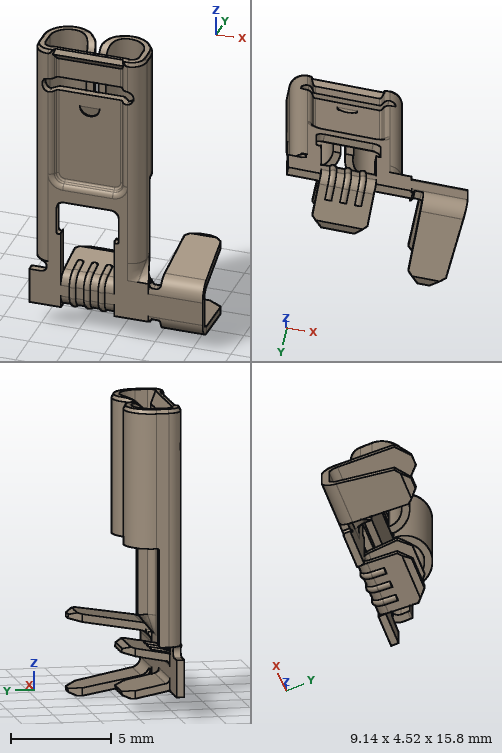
import cadquery as cq
import math


tolerance = 1e-3
overshoot = 1.0

sheet = 0.4
half_width = 2.87
corner_radius = 0.77
inner_corner_radius = corner_radius - sheet
corner_x = half_width - corner_radius
curl_gap_half = 0.12
curl_radius = (half_width - curl_gap_half) / 2
inner_curl_radius = curl_radius - sheet
curl_x = half_width - curl_radius
curl_y = 1.395
curl_tip_length = 0.06
curl_tip_y = curl_y - curl_tip_length
wall_top_y = 1.244

top_z = 14.64
curl_bottom_z = 7.57
wall_bottom_z = 2.52
right_wall_bottom_z = 3.18
curl_relief_radius = 0.13
curl_lead_in_radius = 1.05
wall_end_radius = 0.1
rim_chamfer_height = 0.2
rim_chamfer_inset = 0.1

panel_depth = 0.35
dish_bottom_z = 6.74
panel_taper = 30
panel_edge_fillet = 0.33
panel_floor_fillet = 0.147
panel_edge_tangent = panel_edge_fillet * math.tan(math.radians((90 - panel_taper) / 2))
panel_half_width = corner_x - panel_edge_tangent
panel_bottom_z = dish_bottom_z + panel_edge_tangent
panel_corner_radius = 0.6
lip_start_z = 14.05
lip_nose_z = 14.38
lip_nose_y = 0.1
lip_top_y = 0.25
lip_inner_y = 0.44
bump_half_width = 2.1
bump_bottom_z = dish_bottom_z
bump_taper = 45
bump_root = 0.05

slot_half_length = 2.41
slot_bottom_z = 12.25
slot_top_z = 13.0
mark_radius = 0.52
mark_top_z = 11.54
mark_depth = 0.08
window_half_width = 1.64
window_bottom_z = 4.18
window_top_z = 6.03
window_corner_radius = 0.4
window_relief_radius = 0.12

strip_left_x = -3.07
strip_right_x = 3.21
strip_left_height = 1.9
strip_right_height = 2.18
strip_center_z = 0.968
notch_depth_x = -2.156
notch_start_x = -2.4

tip_bevel_length = 0.41
tip_thickness = sheet / 2
wire_half_width = 1.405
wire_flat_half = 0.31
wire_bend_radius = 0.67
wire_angle = 11
wire_tip_y = 2.76
wire_corner_cut = 0.6
clamp_left_x = 3.82
clamp_right_x = 6.07
clamp_flat_half = 0.64
clamp_bend_radius = 0.917
clamp_angle = 10
clamp_tip_y = 4.43
clamp_corner_y = 3.8
clamp_tip_left_x = 4.43
clamp_tip_right_x = 4.96
clamp_corner_x = 5.74
clamp_bend_end_x = 6.01
clamp_bend_end_y = 0.76

neck_top_z = 1.92
neck_bottom_z = 0.17
neck_back_y = 0.56
neck_upper_radius = 0.22
neck_lower_radius = 0.12
neck_ramp_length = 0.29

bead_offset_x = -0.025
bead_pitch = 0.76
bead_height = 0.09
bead_radius = 0.2
bead_end_y = 1.28


def box(x0, x1, y0, y1, z0, z1):
    """Box between two opposite corners."""
    return cq.Workplane("XY").box(x1 - x0, y1 - y0, z1 - z0, centered=False).translate((x0, y0, z0))


def front_prism(outline, y0, y1):
    """Extrude an outline drawn in X and Z from y0 to y1."""
    return outline.extrude(-(y1 - y0)).translate((0, y0, 0))


def on_circle(center, radius, degrees):
    """Point on a circle in plane coordinates."""
    angle = math.radians(degrees)
    return (center[0] + radius * math.cos(angle), center[1] + radius * math.sin(angle))


def half_section(wall_y, curled):
    """Right half of the receptacle section, optionally with the wall rolled over into a curl."""
    outer_corner = on_circle((corner_x, corner_radius), corner_radius, -45)
    inner_corner = on_circle((corner_x, corner_radius), inner_corner_radius, -45)
    inner_x = half_width - sheet
    section = cq.Workplane("XY").moveTo(0, 0).lineTo(corner_x, 0)
    section = section.threePointArc(outer_corner, (half_width, corner_radius)).lineTo(half_width, wall_y)
    if curled:
        section = section.threePointArc((curl_x, wall_y + curl_radius), (curl_gap_half, wall_y))
        section = section.lineTo(curl_gap_half, curl_tip_y).lineTo(curl_gap_half + sheet, curl_tip_y)
        section = section.lineTo(curl_gap_half + sheet, wall_y)
        section = section.threePointArc((curl_x, wall_y + inner_curl_radius), (inner_x, wall_y))
    else:
        section = section.lineTo(inner_x, wall_y)
    section = section.lineTo(inner_x, corner_radius)
    return section.threePointArc(inner_corner, (corner_x, sheet)).lineTo(0, sheet).close()


def is_outer_rim(edge):
    """True for edges of the top face that lie on the outside of the rolled sheet."""
    if edge.geomType() == "CIRCLE":
        radius = edge.radius()
        return min(abs(radius - corner_radius), abs(radius - curl_radius)) < tolerance
    middle = edge.Center()
    return abs(middle.y) < tolerance or abs(abs(middle.x) - half_width) < tolerance


def curled_half():
    """Right half of the receptacle where the walls are rolled over, with its rim chamfered."""
    half = half_section(curl_y, True).extrude(top_z - curl_bottom_z).translate((0, 0, curl_bottom_z))
    solid = half.val()
    top_face = half.faces(">Z").val()
    rim = [edge for edge in top_face.Edges() if is_outer_rim(edge)]
    return cq.Workplane(solid.chamfer(rim_chamfer_height, rim_chamfer_inset, rim))


def walled_half(bottom_z):
    """Right half of the lower receptacle, a plain channel."""
    return half_section(wall_top_y, False).extrude(curl_bottom_z - bottom_z).translate((0, 0, bottom_z))


def curl_relief():
    """Fillet material where the right wall steps back below the curl."""
    fillet_y = wall_top_y + curl_relief_radius
    fillet_z = curl_bottom_z - curl_relief_radius
    middle = on_circle((fillet_y, fillet_z), curl_relief_radius, 135)
    outline = cq.Workplane("YZ").moveTo(wall_top_y, curl_bottom_z).lineTo(wall_top_y, fillet_z)
    outline = outline.threePointArc(middle, (fillet_y, curl_bottom_z)).close()
    return outline.extrude(sheet).translate((half_width - sheet, 0, 0))


def receptacle():
    """Rolled receptacle without openings."""
    upper = curled_half().union(curl_relief())
    left_wall = walled_half(wall_bottom_z).edges("|X and >Y and <Z").fillet(wall_end_radius)
    left = upper.union(left_wall).mirror("YZ")
    return upper.union(walled_half(right_wall_bottom_z)).union(left)


def panel_prism(half_panel, bottom_z, y0, depth, taper):
    """Tapered prism narrowing towards +Y with rounded lower corners, open past the top."""
    over_top = top_z + overshoot
    side = half_panel - panel_corner_radius
    center_z = bottom_z + panel_corner_radius
    right_mid = on_circle((side, center_z), panel_corner_radius, -45)
    left_mid = (-right_mid[0], right_mid[1])
    outline = cq.Workplane("XZ").moveTo(-side, bottom_z).lineTo(side, bottom_z)
    outline = outline.threePointArc(right_mid, (half_panel, center_z)).lineTo(half_panel, over_top)
    outline = outline.lineTo(-half_panel, over_top).lineTo(-half_panel, center_z)
    outline = outline.threePointArc(left_mid, (-side, bottom_z)).close()
    return outline.extrude(-depth, taper=taper).translate((0, y0, 0))


def side_prism(points):
    """Prism along X across the receptacle from points given in Y and Z."""
    return cq.Workplane("YZ").polyline(points).close().extrude(half_width, both=True)


def panel_recess():
    """Recess in the outer face, ramping out to a lip below the top edge."""
    sharp = panel_prism(panel_half_width, panel_bottom_z, 0, panel_depth, panel_taper)
    sharp = sharp.faces(">Y").edges().fillet(panel_floor_fillet)
    block = box(-half_width, half_width, 0, panel_depth + sheet, 0, top_z)
    dished = block.cut(sharp)
    mouth_low = (-corner_x, -tolerance, dish_bottom_z)
    mouth_high = (corner_x, tolerance, top_z - overshoot)
    mouth = dished.edges(cq.selectors.BoxSelector(mouth_low, mouth_high))
    recess = block.cut(mouth.fillet(panel_edge_fillet))
    limit = side_prism(
        [
            (-overshoot, 0),
            (panel_depth, 0),
            (panel_depth, lip_start_z),
            (lip_nose_y, lip_nose_z),
            (lip_top_y, top_z),
            (-overshoot, top_z),
        ]
    )
    return recess.intersect(limit)


def panel_bump():
    """Raised inner side of the panel, with a lead-in at the top."""
    bump = panel_prism(
        bump_half_width, bump_bottom_z, sheet - bump_root, panel_depth + bump_root, bump_taper
    )
    limit = side_prism(
        [
            (0, 0),
            (sheet + panel_depth, 0),
            (sheet + panel_depth, lip_start_z),
            (lip_inner_y, top_z),
            (0, top_z),
        ]
    )
    return bump.intersect(limit)


def cross_slot():
    """Round-ended slot across the front wall."""
    height = slot_top_z - slot_bottom_z
    outline = cq.Workplane("XZ").center(0, (slot_bottom_z + slot_top_z) / 2)
    return front_prism(outline.slot2D(2 * slot_half_length, height), -sheet, sheet + corner_radius)


def half_round_mark():
    """Half-round impression in the panel, flush at its straight top edge and deepening downwards."""
    outline = cq.Workplane("XZ").moveTo(-mark_radius, mark_top_z)
    outline = outline.threePointArc((0, mark_top_z - mark_radius), (mark_radius, mark_top_z)).close()
    disc = front_prism(outline, 0, panel_depth + mark_depth)
    low_z = mark_top_z - mark_radius
    deepest_y = panel_depth + mark_depth
    ramp = side_prism([(0, low_z), (deepest_y, low_z), (panel_depth, mark_top_z), (0, mark_top_z)])
    return disc.intersect(ramp)


def curl_lead_in():
    """Material removed to round the upper corners of both curl tips as a lead-in."""
    radius = curl_lead_in_radius
    center = (curl_tip_y + radius, top_z - radius)
    outline = (
        cq.Workplane("YZ")
        .moveTo(curl_tip_y, center[1])
        .threePointArc(on_circle(center, radius, 135), (center[0], top_z))
        .lineTo(curl_tip_y, top_z)
        .close()
    )
    return outline.extrude(curl_x, both=True)


def window():
    """Window in the front wall with relief pockets at its lower corners."""
    y0, y1 = -sheet, 2 * sheet
    wide_bottom_z = window_bottom_z + window_relief_radius
    wide = box(-window_half_width, window_half_width, y0, y1, wide_bottom_z, window_top_z)
    wide = wide.edges("|Y and >Z").fillet(window_corner_radius)
    narrow = box(-wire_half_width, wire_half_width, y0, y1, 0, window_top_z - window_corner_radius)
    opening = wide.union(narrow)
    relief_x = window_half_width - window_relief_radius
    for x in (-relief_x, relief_x):
        outline = cq.Workplane("XZ").center(x, wide_bottom_z)
        opening = opening.union(front_prism(outline.circle(window_relief_radius), y0, y1))
    return opening


def strip():
    """Flat strip on both sides of the wire wings."""
    notch_z = (strip_left_height + wall_bottom_z) / 2
    left = (
        cq.Workplane("XZ")
        .moveTo(strip_left_x, 0)
        .lineTo(-wire_half_width, 0)
        .lineTo(-wire_half_width, wall_bottom_z)
        .lineTo(notch_start_x, wall_bottom_z)
        .threePointArc((notch_depth_x, notch_z), (notch_start_x, strip_left_height))
        .lineTo(strip_left_x, strip_left_height)
        .close()
    )
    right = box(wire_half_width, strip_right_x, 0, sheet, 0, strip_right_height)
    return front_prism(left, 0, sheet).union(right)


def wall_transition():
    """Right wall flattening out into the strip."""
    outer_corner = on_circle((corner_x, corner_radius), corner_radius, -45)
    inner_corner = on_circle((corner_x, corner_radius), inner_corner_radius, -45)
    inner_x = half_width - sheet
    bend_end_x = (corner_x + strip_right_x) / 2
    return (
        cq.Workplane("XY", origin=(0, 0, strip_right_height))
        .moveTo(wire_half_width, 0)
        .lineTo(corner_x, 0)
        .lineTo(bend_end_x, 0)
        .lineTo(strip_right_x, 0)
        .lineTo(strip_right_x, sheet)
        .lineTo(bend_end_x, sheet)
        .lineTo(corner_x, sheet)
        .lineTo(wire_half_width, sheet)
        .close()
        .workplane(offset=right_wall_bottom_z - strip_right_height)
        .moveTo(wire_half_width, 0)
        .lineTo(corner_x, 0)
        .threePointArc(outer_corner, (half_width, corner_radius))
        .lineTo(half_width, wall_top_y)
        .lineTo(inner_x, wall_top_y)
        .lineTo(inner_x, corner_radius)
        .threePointArc(inner_corner, (corner_x, sheet))
        .lineTo(wire_half_width, sheet)
        .close()
        .loft(ruled=True)
    )


def upper_wing(x0, x1, flat_half, bend_radius, angle, tip_y):
    """Upper half of a bent wing pair: half of the flat base, the bend and one bevelled wing."""
    inner_radius = bend_radius - sheet
    slope = math.tan(math.radians(angle))
    center = (bend_radius, flat_half)
    outer_end = on_circle(center, bend_radius, 90 + angle)
    inner_end = on_circle(center, inner_radius, 90 + angle)
    inner_tip = (tip_y, inner_end[1] + slope * (tip_y - inner_end[0]))
    outer_tip = on_circle(inner_tip, tip_thickness, 90 + angle)
    bevel_y = tip_y - tip_bevel_length
    bevel = (bevel_y, outer_end[1] + slope * (bevel_y - outer_end[0]))
    mid_angle = 135 + angle / 2
    profile = (
        cq.Workplane("YZ")
        .moveTo(0, 0)
        .lineTo(0, flat_half)
        .threePointArc(on_circle(center, bend_radius, mid_angle), outer_end)
        .lineTo(*bevel)
        .lineTo(*outer_tip)
        .lineTo(*inner_tip)
        .lineTo(*inner_end)
        .threePointArc(on_circle(center, inner_radius, mid_angle), (sheet, flat_half))
        .lineTo(sheet, 0)
        .close()
    )
    return profile.extrude(x1 - x0).translate((x0, 0, 0))


def wing_pair(x0, x1, flat_half, bend_radius, angle, tip_y):
    """Flat base with a wing bent up and a wing bent down, centred on the strip."""
    upper = upper_wing(x0, x1, flat_half, bend_radius, angle, tip_y)
    return upper.union(upper.mirror("XY")).translate((0, 0, strip_center_z))


def plan_prism(points):
    """Tall prism from points in X and Y."""
    return cq.Workplane("XY").polyline(points).close().extrude(top_z, both=True)


def wire_wings():
    """Wings that grip the wire, with cut corners."""
    pair = wing_pair(
        -wire_half_width, wire_half_width, wire_flat_half, wire_bend_radius, wire_angle, wire_tip_y
    )
    tip_half = wire_half_width - wire_corner_cut
    corner_y = wire_tip_y - wire_corner_cut
    plan = plan_prism(
        [
            (-wire_half_width, -overshoot),
            (wire_half_width, -overshoot),
            (wire_half_width, corner_y),
            (tip_half, wire_tip_y),
            (-tip_half, wire_tip_y),
            (-wire_half_width, corner_y),
        ]
    )
    return pair.intersect(plan)


def clamp_pair(x0, x1):
    """Bent section shared by the end wings and the neck."""
    return wing_pair(x0, x1, clamp_flat_half, clamp_bend_radius, clamp_angle, clamp_tip_y)


def clamp_wings():
    """Larger wings at the right-hand end, tapered on their outer side."""
    plan = plan_prism(
        [
            (clamp_left_x, -overshoot),
            (clamp_right_x, -overshoot),
            (clamp_right_x, 0),
            (clamp_bend_end_x, clamp_bend_end_y),
            (clamp_corner_x, clamp_corner_y),
            (clamp_tip_right_x, clamp_tip_y),
            (clamp_tip_left_x, clamp_tip_y),
            (clamp_left_x, clamp_corner_y),
        ]
    )
    return clamp_pair(clamp_left_x, clamp_right_x).intersect(plan)


def neck():
    """Neck joining the strip to the end wings, notched above and below."""
    y0, y1 = -sheet, neck_back_y
    blank = box(strip_right_x, clamp_left_x, y0, y1, 0, strip_right_height)
    upper_notch = box(strip_right_x, clamp_left_x, y0, y1, neck_top_z, 2 * strip_right_height)
    upper_notch = upper_notch.edges("|Y and <Z").fillet(neck_upper_radius)
    lower_notch = box(strip_right_x, clamp_left_x, y0, y1, -neck_bottom_z, neck_bottom_z)
    lower_notch = lower_notch.edges("|Y and >Z and >X").fillet(neck_lower_radius)
    lower_notch = lower_notch.edges("|Y and >Z and <X").chamfer(neck_bottom_z, neck_ramp_length)
    bent = clamp_pair(strip_right_x, clamp_left_x)
    return bent.intersect(blank.cut(upper_notch).cut(lower_notch))


def bead(x):
    """Rounded bead around the outside of the wire wings."""
    depth = bead_radius - bead_height
    center = (wire_bend_radius, wire_flat_half)
    path_radius = wire_bend_radius - depth
    bend_end = on_circle(center, path_radius, 90 + wire_angle)
    slope = math.tan(math.radians(wire_angle))
    end = (bead_end_y, bend_end[1] + slope * (bead_end_y - bend_end[0]))
    path = (
        cq.Workplane("YZ")
        .moveTo(depth, 0)
        .lineTo(depth, wire_flat_half)
        .threePointArc(on_circle(center, path_radius, 135 + wire_angle / 2), bend_end)
        .lineTo(*end)
    )
    upper = cq.Workplane("XY").center(0, depth).circle(bead_radius).sweep(path)
    return upper.union(upper.mirror("XY")).translate((x, 0, strip_center_z))


body = receptacle().cut(curl_lead_in()).union(panel_bump()).cut(panel_recess())
body = body.cut(cross_slot()).cut(half_round_mark()).cut(window())
body = body.union(strip()).union(wall_transition())
body = body.union(wire_wings()).union(neck()).union(clamp_wings())
for step in (-1, 0, 1):
    body = body.union(bead(bead_offset_x + step * bead_pitch))

result = body